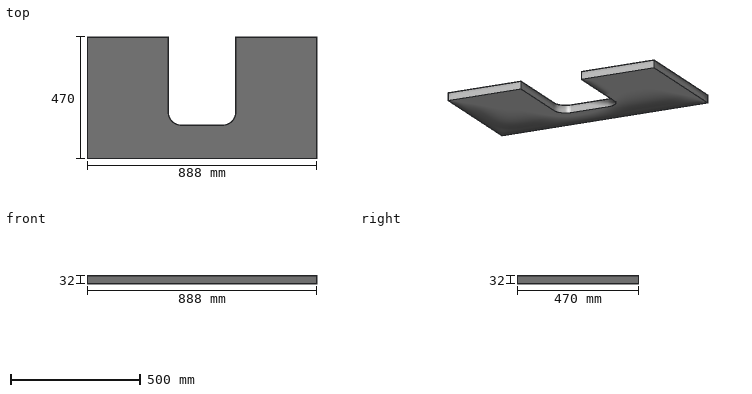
import cadquery as cq

panel_length = 888.0
panel_depth = 470.0
panel_thickness = 32.0

cutout_width = 260.0
cutout_depth = 340.0
cutout_corner_radius = 50.0

back_edge_y = panel_depth / 2
cutout_floor_y = back_edge_y - cutout_depth


def make_panel():
    """Flat rectangular board centred on the origin."""
    return cq.Workplane("XY").box(panel_length, panel_depth, panel_thickness)


def make_cutout():
    """Through cutter with its two inner corners rounded."""
    return (
        cq.Workplane("XY")
        .center(0, cutout_floor_y + cutout_depth / 2)
        .rect(cutout_width, cutout_depth)
        .extrude(panel_thickness / 2, both=True)
        .edges("|Z and <Y")
        .fillet(cutout_corner_radius)
    )


result = make_panel().cut(make_cutout())